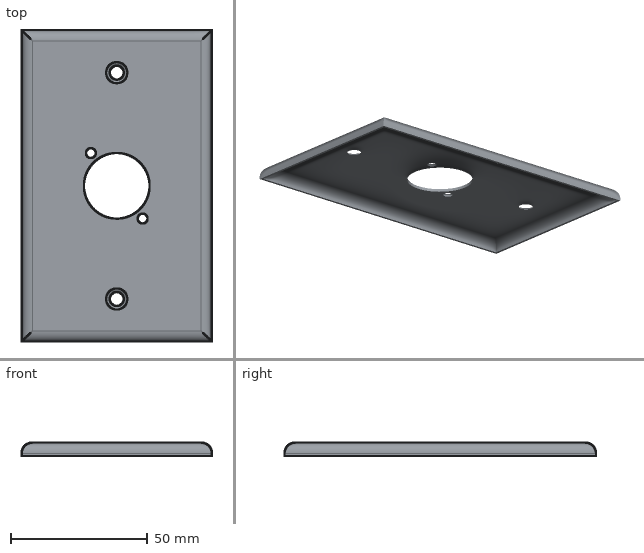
import cadquery as cq

width = 69.8
length = 114.3
height = 5.0

rim_radius = 4.0

wall = 1.0
cavity_height = height - wall
cavity_radius = rim_radius - wall

connector_diameter = 24.0
connector_screw_diameter = 3.5
connector_screw_x = 9.5
connector_screw_y = 12.0

mount_spacing = 83.0
mount_diameter = 5.0
mount_head_diameter = 7.8
countersink_angle = 110.0


def rounded_block(block_width, block_length, block_height, radius):
    """Block with sharp corners and a rounded top rim, standing on Z = 0."""
    block = cq.Workplane("XY").box(
        block_width, block_length, block_height, centered=(True, True, False)
    )
    return block.faces(">Z").edges().fillet(radius)


def top_face(body):
    """Workplane on the top of the plate, centred on the Z axis."""
    return body.faces(">Z").workplane(origin=(0, 0, height))


outer = rounded_block(width, length, height, rim_radius)
cavity = rounded_block(width - 2 * wall, length - 2 * wall, cavity_height, cavity_radius)
plate = outer.cut(cavity)

plate = top_face(plate).hole(connector_diameter)
connector_screws = [
    (-connector_screw_x, connector_screw_y),
    (connector_screw_x, -connector_screw_y),
]
plate = top_face(plate).pushPoints(connector_screws).hole(connector_screw_diameter)

mount_points = [(0, mount_spacing / 2), (0, -mount_spacing / 2)]
plate = (
    top_face(plate)
    .pushPoints(mount_points)
    .cskHole(mount_diameter, mount_head_diameter, countersink_angle)
)

result = plate